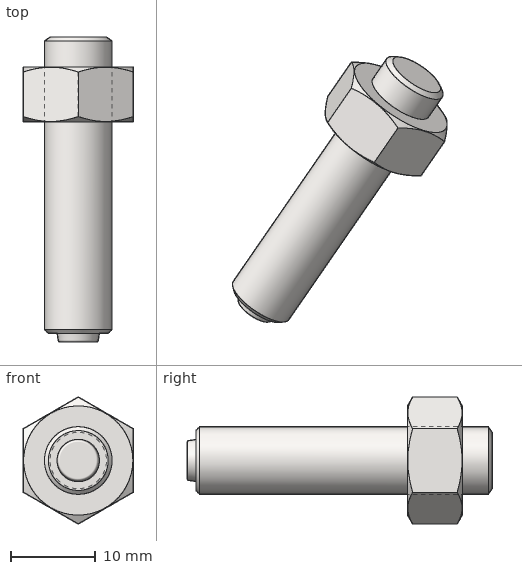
import cadquery as cq
import math

TOTAL_LENGTH = 36.0

STUD_DIAMETER = 8.0
FRONT_CHAMFER = 0.45
BACK_FACE_DIAMETER = 6.65
BACK_CHAMFER_LENGTH = 0.45
TIP_BASE_DIAMETER = 5.0
TIP_END_DIAMETER = 4.68
TIP_LENGTH = 1.0
TIP_FILLET = 0.2

NUT_ACROSS_FLATS = 13.0
NUT_ACROSS_CORNERS = NUT_ACROSS_FLATS / math.cos(math.radians(30))
NUT_FACE_DIAMETER = 12.9
NUT_CHAMFER_ANGLE = 30.0
NUT_THICKNESS = 6.48
NUT_BACK_SETBACK = 3.53

TIP_Y = -TOTAL_LENGTH / 2
BACK_Y = TOTAL_LENGTH / 2
SHANK_FRONT_Y = TIP_Y + TIP_LENGTH
NUT_BACK_Y = BACK_Y - NUT_BACK_SETBACK
NUT_FRONT_Y = NUT_BACK_Y - NUT_THICKNESS


def revolve_about_y(profile):
    """Revolve a closed (radius, y) outline around the Y axis."""
    return cq.Workplane("XY").polyline(profile).close().revolve(360, (0, 0, 0), (0, 1, 0))


def make_stud():
    """Chamfered cylindrical stud with a smaller tapered tip, rounded at its end."""
    stud_radius = STUD_DIAMETER / 2
    stud = revolve_about_y([
        (0, TIP_Y),
        (TIP_END_DIAMETER / 2, TIP_Y),
        (TIP_BASE_DIAMETER / 2, SHANK_FRONT_Y),
        (stud_radius - FRONT_CHAMFER, SHANK_FRONT_Y),
        (stud_radius, SHANK_FRONT_Y + FRONT_CHAMFER),
        (stud_radius, BACK_Y - BACK_CHAMFER_LENGTH),
        (BACK_FACE_DIAMETER / 2, BACK_Y),
        (0, BACK_Y),
    ])
    return stud.faces("<Y").edges().fillet(TIP_FILLET)


def make_nut():
    """Hexagonal nut with its corners chamfered conically at both faces."""
    hexagon = (
        cq.Workplane("XZ", origin=(0, NUT_BACK_Y, 0))
        .transformed(rotate=(0, 0, 90))
        .polygon(6, NUT_ACROSS_CORNERS)
        .extrude(NUT_THICKNESS)
    )

    bore_radius = STUD_DIAMETER / 2
    face_radius = NUT_FACE_DIAMETER / 2
    cone_rise = NUT_THICKNESS / 2
    middle_radius = face_radius + cone_rise / math.tan(math.radians(NUT_CHAMFER_ANGLE))
    envelope = revolve_about_y([
        (bore_radius, NUT_FRONT_Y),
        (face_radius, NUT_FRONT_Y),
        (middle_radius, NUT_FRONT_Y + cone_rise),
        (face_radius, NUT_BACK_Y),
        (bore_radius, NUT_BACK_Y),
    ])
    return hexagon.intersect(envelope)


stud = make_stud()
nut = make_nut()

result = cq.Compound.makeCompound([stud.val(), *nut.solids().vals()])